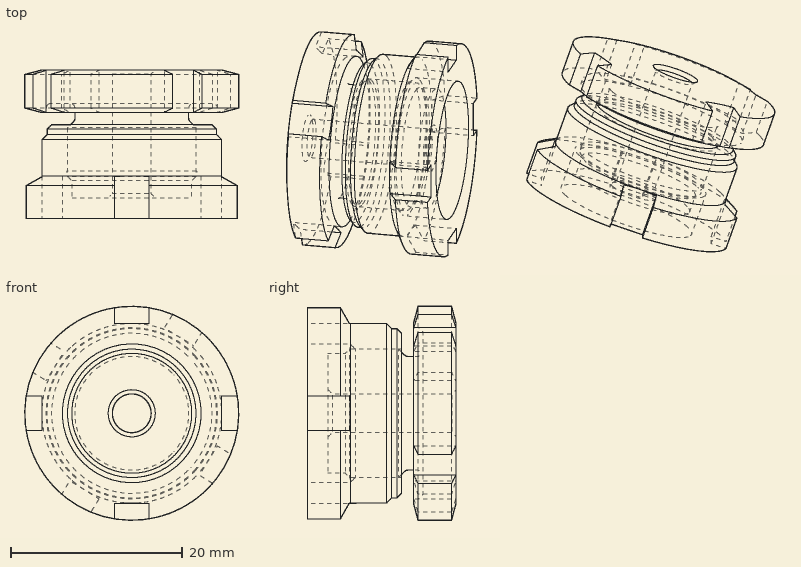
import cadquery as cq
import math


SLOT_COUNT = 4
SLOT_WIDTH = 4.0
SLOT_FLOOR = 10.5
THREAD_RADIUS = 7.5
AXIS_END = (0, 1, 0)

HOUSING_LENGTH = 11.0
FLANGE_RADIUS = 12.5
FLANGE_RIM_END = 3.86
FLANGE_CONE_ANGLE = 30.0
BODY_RADIUS = 10.5
BODY_END = 9.23
COLLAR_RADIUS = 9.9
COLLAR_CHAMFER = 0.54
RECESS_RADIUS = 8.1
RECESS_DEPTH = 5.0

OVERALL_LENGTH = 17.38
HEAD_RADIUS = 12.5
HEAD_THICKNESS = 5.0
HEAD_FACE_RADIUS = 10.5
HEAD_CHAMFER_ANGLE = 15.0
HEAD_TURN = 31.7
POCKET_RADIUS = 10.0
POCKET_DEPTH = 1.1
SHANK_TIP = 2.44
TIP_RADIUS = 7.0
TIP_LENGTH = 2.0
NECK_RADIUS = 6.65
CORNER_RADIUS = 0.6
THREAD_START = 10.65
HOLE_RADIUS = 2.25
HOLE_CHAMFER = 0.5


def revolve(profile):
    """Turn a closed (radius, Y) profile into a solid about the Y axis."""
    return profile.close().revolve(360, (0, 0, 0), AXIS_END)


def cut_rim_slots(body, start, end, turn):
    """Cut equally spaced straight slots into a rim, between two Y positions."""
    for index in range(SLOT_COUNT):
        slot = (
            cq.Workplane("XY")
            .box(SLOT_WIDTH, end - start, HEAD_RADIUS, centered=(True, False, False))
            .translate((0, start, SLOT_FLOOR))
            .rotate((0, 0, 0), AXIS_END, turn + index * 360 / SLOT_COUNT)
        )
        body = body.cut(slot)
    return body


def make_housing():
    """Flanged bush with a stepped outside, a front recess and a threaded bore."""
    flange_slope = math.tan(math.radians(FLANGE_CONE_ANGLE))
    cone_end = FLANGE_RIM_END + (FLANGE_RADIUS - BODY_RADIUS) * flange_slope
    collar_start = BODY_END + BODY_RADIUS - COLLAR_RADIUS
    bore_start = RECESS_DEPTH + RECESS_RADIUS - THREAD_RADIUS
    profile = (
        cq.Workplane("XY")
        .moveTo(RECESS_RADIUS, 0)
        .lineTo(FLANGE_RADIUS, 0)
        .lineTo(FLANGE_RADIUS, FLANGE_RIM_END)
        .lineTo(BODY_RADIUS, cone_end)
        .lineTo(BODY_RADIUS, BODY_END)
        .lineTo(COLLAR_RADIUS, collar_start)
        .lineTo(COLLAR_RADIUS, HOUSING_LENGTH - COLLAR_CHAMFER)
        .lineTo(COLLAR_RADIUS - COLLAR_CHAMFER, HOUSING_LENGTH)
        .lineTo(THREAD_RADIUS, HOUSING_LENGTH)
        .lineTo(THREAD_RADIUS, bore_start)
        .lineTo(RECESS_RADIUS, RECESS_DEPTH)
    )
    return cut_rim_slots(revolve(profile), 0, cone_end, 0)


def make_screw():
    """Hollow screw: stepped shank, undercut neck and slotted head with a front pocket."""
    head_front = OVERALL_LENGTH - HEAD_THICKNESS
    tip_end = SHANK_TIP + TIP_LENGTH
    pocket_floor = head_front + POCKET_DEPTH
    head_chamfer = (HEAD_RADIUS - HEAD_FACE_RADIUS) * math.tan(math.radians(HEAD_CHAMFER_ANGLE))

    diagonal = CORNER_RADIUS * math.sqrt(0.5)
    cone_radius = NECK_RADIUS + CORNER_RADIUS - diagonal
    cone_end = THREAD_START + THREAD_RADIUS - cone_radius
    neck_start = cone_end + diagonal

    profile = (
        cq.Workplane("XY")
        .moveTo(HOLE_RADIUS, SHANK_TIP + HOLE_CHAMFER)
        .lineTo(HOLE_RADIUS + HOLE_CHAMFER, SHANK_TIP)
        .lineTo(TIP_RADIUS, SHANK_TIP)
        .lineTo(TIP_RADIUS, tip_end)
        .lineTo(THREAD_RADIUS, tip_end + THREAD_RADIUS - TIP_RADIUS)
        .lineTo(THREAD_RADIUS, THREAD_START)
        .lineTo(cone_radius, cone_end)
        .tangentArcPoint((NECK_RADIUS, neck_start), relative=False)
        .lineTo(NECK_RADIUS, pocket_floor - CORNER_RADIUS)
        .tangentArcPoint((NECK_RADIUS + CORNER_RADIUS, pocket_floor), relative=False)
        .lineTo(POCKET_RADIUS - CORNER_RADIUS, pocket_floor)
        .tangentArcPoint((POCKET_RADIUS, pocket_floor - CORNER_RADIUS), relative=False)
        .lineTo(POCKET_RADIUS, head_front)
        .lineTo(HEAD_FACE_RADIUS, head_front)
        .lineTo(HEAD_RADIUS, head_front + head_chamfer)
        .lineTo(HEAD_RADIUS, OVERALL_LENGTH - head_chamfer)
        .lineTo(HEAD_FACE_RADIUS, OVERALL_LENGTH)
        .lineTo(HOLE_RADIUS + HOLE_CHAMFER, OVERALL_LENGTH)
        .lineTo(HOLE_RADIUS, OVERALL_LENGTH - HOLE_CHAMFER)
    )
    return cut_rim_slots(revolve(profile), head_front, OVERALL_LENGTH, HEAD_TURN)


housing = make_housing()
screw = make_screw()

result = cq.Compound.makeCompound([housing.val(), screw.val()])